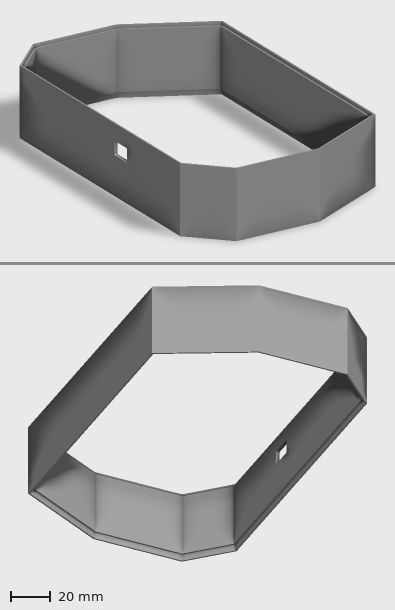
import cadquery as cq

length = 195.4
width = 118.6
height = 39.9

front_cut = 20.7
rear_cut_x = 24.5
rear_cut_y = 48.3

wall = 2.0
lip = 0.9
top_rebate_depth = 2.0
bottom_rebate_depth = 3.5

window_length = 12.3
window_height = 7.8
window_corner_radius = 1.0
window_x = 20.0
window_z = height / 2 + 6.5


def outline_prism(inset, bottom, top):
    """Eight-sided prism whose sides lie the given inset inside the outer faces."""
    half_length = length / 2
    half_width = width / 2
    right_half = [
        (half_length - front_cut, -half_width),
        (half_length, -half_width + front_cut),
        (half_length, half_width - rear_cut_y),
        (half_length - rear_cut_x, half_width),
    ]
    left_half = [(-x, y) for x, y in reversed(right_half)]
    outline = cq.Workplane("XY").workplane(offset=bottom).polyline(right_half + left_half).close()
    if inset > 0:
        outline = outline.offset2D(-inset, "intersection")
    return outline.extrude(top - bottom)


def window_cutter():
    """Rounded rectangular block that passes through the front wall only."""
    cutter_depth = 4 * wall
    return (
        cq.Workplane("XY")
        .box(window_length, cutter_depth, window_height)
        .edges("|Y")
        .fillet(window_corner_radius)
        .translate((window_x, -width / 2, window_z))
    )


frame = outline_prism(0, 0, height).cut(outline_prism(wall, 0, height))
frame = frame.cut(outline_prism(lip, height - top_rebate_depth, height))
frame = frame.cut(outline_prism(lip, 0, bottom_rebate_depth))

result = frame.cut(window_cutter())